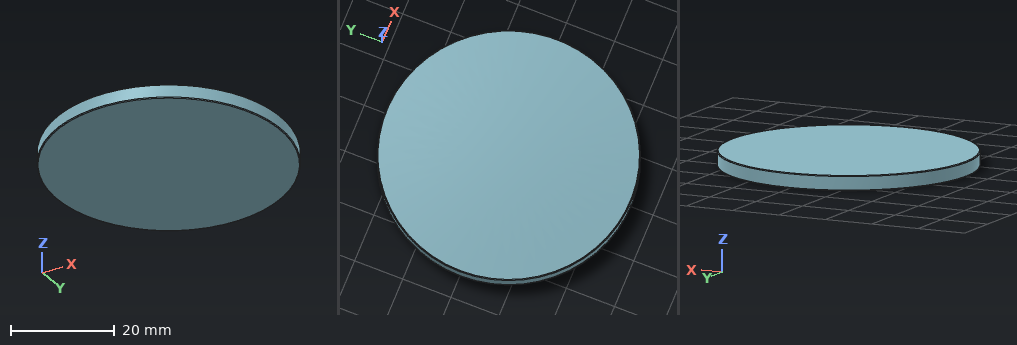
import cadquery as cq
import math

diameter = 50.8
center_thickness = 4.25
dome_radius = 257.5
edge_chamfer = 0.175

lens_radius = diameter / 2
dome_edge_radius = lens_radius - edge_chamfer


def dome_height(distance_from_axis):
    """Height of the convex face above the flat face at a distance from the axis."""
    drop = dome_radius - math.sqrt(dome_radius**2 - distance_from_axis**2)
    return center_thickness - drop


def lens_body():
    """Revolve the half section, drawn on the -X side, about the Z axis."""
    dome_edge_height = dome_height(dome_edge_radius)
    return (
        cq.Workplane("XZ")
        .moveTo(0, 0)
        .lineTo(-dome_edge_radius, 0)
        .lineTo(-lens_radius, edge_chamfer)
        .lineTo(-lens_radius, dome_edge_height - edge_chamfer)
        .lineTo(-dome_edge_radius, dome_edge_height)
        .threePointArc(
            (-dome_edge_radius / 2, dome_height(dome_edge_radius / 2)),
            (0, center_thickness),
        )
        .close()
        .revolve(360, (0, 0, 0), (0, 1, 0))
    )


result = lens_body()